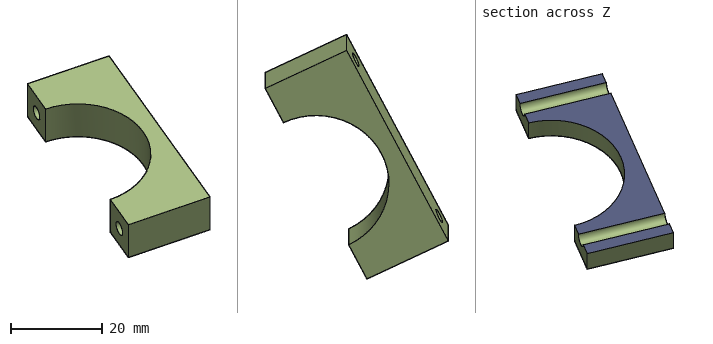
import cadquery as cq

length = 50.0
depth = 20.0
height = 10.0

saddle_diameter = 32.0

bolt_hole_diameter = 3.2
bolt_spacing = 41.0


def make_block():
    """Block with its front face on Y = 0 and its base on Z = 0."""
    return cq.Workplane("XY").box(length, depth, height, centered=(True, False, False))


def make_saddle():
    """Vertical cylinder whose rear half cuts the saddle."""
    return cq.Workplane("XY").circle(saddle_diameter / 2).extrude(height)


def make_bolt_holes():
    """Cylinders along Y at mid height, passing through the full depth."""
    centres = [(side * bolt_spacing / 2, height / 2) for side in (-1, 1)]
    return cq.Workplane("XZ").pushPoints(centres).circle(bolt_hole_diameter / 2).extrude(-depth)


result = make_block().cut(make_saddle()).cut(make_bolt_holes())